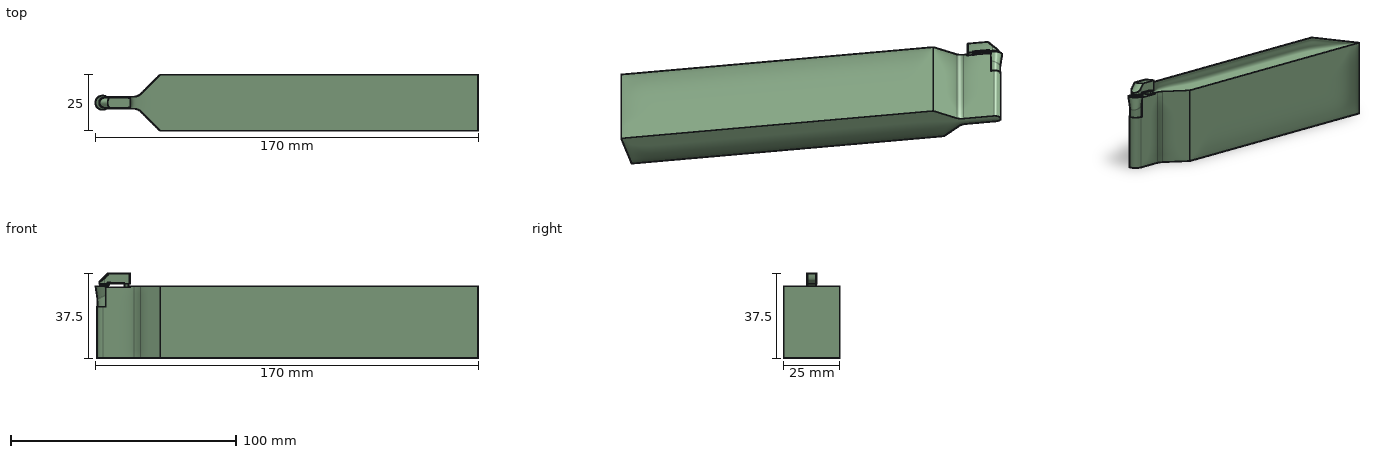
import cadquery as cq
import math

LENGTH = 170.0
SHANK_WIDTH = 25.0
SHANK_HEIGHT = 32.0
TAPER_END_X = 28.7
TAPER_ANGLE = 45.0

BLADE_WIDTH = 5.5
BLADE_FRONT_X = 0.7
ROOT_START_X = 17.0
ROOT_RADIUS = 5.0

INSERT_RADIUS = 3.2
INSERT_RELIEF_ANGLE = 8.5
INSERT_HEIGHT = 9.2
STEM_RADIUS = 2.5
STEM_SETBACK = 0.2
INSERT_BACK_X = 4.6

TOTAL_HEIGHT = 37.5
CLAMP_WIDTH = 4.6
CLAMP_FRONT_X = 1.7
CLAMP_BACK_X = 15.5
CLAMP_CORNER = 0.5
CLAMP_GAP = 1.5
KEEL_WIDTH = 2.7
KEEL_FRONT_X = 6.8
KEEL_GAP = 1.0
NOSE_BACK_X = 5.5
PAD_BACK_X = 6.1
PAD_INSET = 0.2
PAD_CHAMFER = 0.5
HEEL_FRONT_X = 13.0
FOOT_BACK_X = 14.8
FOOT_INSET = 0.3
RELIEF_DEPTH = 0.5

SLOPE_TOP_X = 5.5
SLOPE_ANGLE = 45.0
SLOPE_RADIUS = 5.1

BLADE_CENTER_X = BLADE_FRONT_X + BLADE_WIDTH / 2
CLAMP_CENTER_X = CLAMP_FRONT_X + CLAMP_WIDTH / 2
STEM_CENTER_X = INSERT_RADIUS + STEM_SETBACK
INSERT_FLOOR_Z = SHANK_HEIGHT - INSERT_HEIGHT


def box(x_min, x_max, width, z_min, z_max):
    """Block centred on the XZ plane."""
    size_x = x_max - x_min
    return (
        cq.Workplane("XY", origin=(x_min + size_x / 2, 0, z_min))
        .rect(size_x, width)
        .extrude(z_max - z_min)
    )


def round_front_bar(center_x, x_max, width, z_min, z_max):
    """Upright bar whose front end is a half cylinder about center_x."""
    half = width / 2
    return (
        cq.Workplane("XY", origin=(0, 0, z_min))
        .moveTo(x_max, -half)
        .lineTo(center_x, -half)
        .threePointArc((center_x - half, 0), (center_x, half))
        .lineTo(x_max, half)
        .close()
        .extrude(z_max - z_min)
    )


def make_shank_and_blade():
    half_shank = SHANK_WIDTH / 2
    half_blade = BLADE_WIDTH / 2

    taper = math.radians(TAPER_ANGLE)
    arc_center_y = half_blade + ROOT_RADIUS
    taper_offset = (
        (TAPER_END_X - ROOT_START_X) * math.sin(taper)
        - (half_shank - arc_center_y) * math.cos(taper)
    )
    end_angle = taper - math.acos(taper_offset / ROOT_RADIUS)

    def root_point(angle):
        x = ROOT_START_X + ROOT_RADIUS * math.sin(angle)
        y = arc_center_y - ROOT_RADIUS * math.cos(angle)
        return x, y

    half_outline = (
        cq.Workplane("XY")
        .moveTo(BLADE_FRONT_X, 0)
        .radiusArc((BLADE_CENTER_X, half_blade), half_blade)
        .lineTo(ROOT_START_X, half_blade)
        .threePointArc(root_point(end_angle / 2), root_point(end_angle))
        .lineTo(TAPER_END_X, half_shank)
        .lineTo(LENGTH, half_shank)
        .lineTo(LENGTH, 0)
    )
    return half_outline.mirrorX().extrude(SHANK_HEIGHT)


def make_slope_envelope():
    """Slanted cylinder whose upper ridge forms the nose slope, running back and up."""
    angle = math.radians(SLOPE_ANGLE)
    reach = 2 * CLAMP_BACK_X
    along = cq.Vector(math.cos(angle), 0, math.sin(angle))
    inward = cq.Vector(math.sin(angle), 0, -math.cos(angle))
    ridge_top = cq.Vector(SLOPE_TOP_X, 0, TOTAL_HEIGHT)
    start = ridge_top + inward * SLOPE_RADIUS - along * reach
    cylinder = cq.Workplane(cq.Solid.makeCylinder(SLOPE_RADIUS, 2 * reach, start, along))
    core_plane = cq.Plane(origin=start.toTuple(), xDir=inward.toTuple(), normal=along.toTuple())
    core = (
        cq.Workplane(core_plane)
        .center(reach / 2, 0)
        .rect(reach, 2 * SLOPE_RADIUS)
        .extrude(2 * reach)
    )
    return cylinder.union(core)


def make_clamp():
    finger_z = SHANK_HEIGHT + CLAMP_GAP
    keel_z = SHANK_HEIGHT + KEEL_GAP

    finger = round_front_bar(CLAMP_CENTER_X, CLAMP_BACK_X, CLAMP_WIDTH, keel_z, TOTAL_HEIGHT)
    finger = finger.edges("|Z and >X").chamfer(CLAMP_CORNER)
    finger = finger.cut(box(NOSE_BACK_X, HEEL_FRONT_X, CLAMP_WIDTH, keel_z, finger_z))
    finger = finger.intersect(make_slope_envelope())

    keel = box(KEEL_FRONT_X, HEEL_FRONT_X, KEEL_WIDTH, keel_z, finger_z)
    foot_width = CLAMP_WIDTH - 2 * FOOT_INSET
    foot = box(HEEL_FRONT_X, FOOT_BACK_X, foot_width, SHANK_HEIGHT - RELIEF_DEPTH, keel_z)
    pad_width = CLAMP_WIDTH - 2 * PAD_INSET
    pad = round_front_bar(CLAMP_CENTER_X, PAD_BACK_X, pad_width, SHANK_HEIGHT, keel_z)
    pad = pad.faces("<Z").chamfer(PAD_CHAMFER)
    return finger.union(keel).union(foot).union(pad)


def make_insert():
    tip_radius = INSERT_RADIUS - INSERT_HEIGHT * math.tan(math.radians(INSERT_RELIEF_ANGLE))
    head_base = cq.Vector(INSERT_RADIUS, 0, INSERT_FLOOR_Z)
    head = cq.Workplane(
        cq.Solid.makeCone(tip_radius, INSERT_RADIUS, INSERT_HEIGHT, head_base)
    )
    stem = (
        cq.Workplane("XY", origin=(STEM_CENTER_X, 0, INSERT_FLOOR_Z))
        .circle(STEM_RADIUS)
        .extrude(INSERT_HEIGHT)
    )
    keep = box(0, INSERT_BACK_X, 2 * INSERT_RADIUS, INSERT_FLOOR_Z, SHANK_HEIGHT)
    return head.union(stem).intersect(keep)


def make_holder():
    pocket = box(0, INSERT_BACK_X, BLADE_WIDTH, INSERT_FLOOR_Z, SHANK_HEIGHT)
    relief = box(
        INSERT_BACK_X, CLAMP_BACK_X, BLADE_WIDTH, SHANK_HEIGHT - RELIEF_DEPTH, SHANK_HEIGHT
    )
    return make_shank_and_blade().cut(pocket).cut(relief).union(make_clamp())


holder = make_holder()
insert = make_insert()

result = cq.Compound.makeCompound([holder.val(), insert.val()])